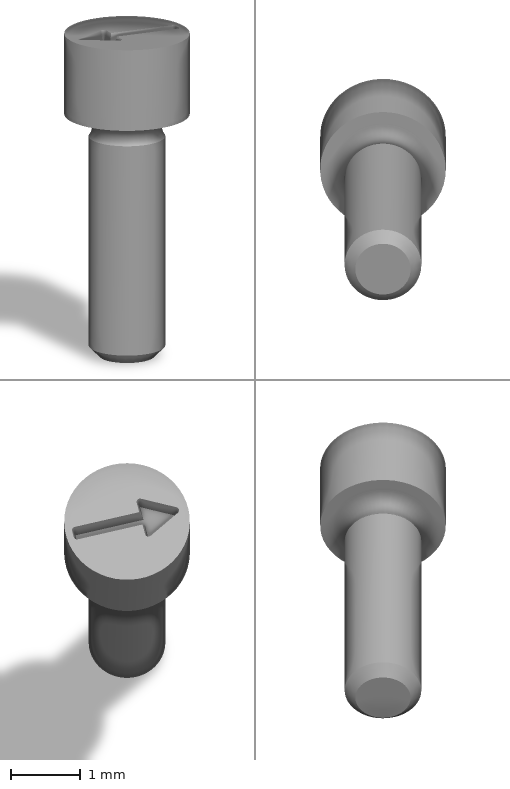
import cadquery as cq
import math

total_length = 4.8
head_diameter = 1.8
head_height = 1.2

shank_diameter = 1.1
neck_diameter = 1.01
neck_arc_radius = 0.2
tip_chamfer = 0.155

arrow_depth = 0.2
arrow_wall_taper = 14.0
arrow_tail_y = 0.75
arrow_shoulder_y = -0.255
arrow_tip_y = -0.715
arrow_shaft_half_width = 0.05
arrow_head_half_width = 0.25


def make_pin():
    """Revolve the half profile: chamfered tip, shank, arc neck and head."""
    head_radius = head_diameter / 2
    shank_radius = shank_diameter / 2
    head_bottom = total_length - head_height

    arc_center_r = neck_diameter / 2 + neck_arc_radius
    arc_center_z = head_bottom - neck_arc_radius
    end_angle = math.acos((arc_center_r - shank_radius) / neck_arc_radius)
    shank_top = arc_center_z - neck_arc_radius * math.sin(end_angle)

    return (
        cq.Workplane("XZ")
        .lineTo(shank_radius - tip_chamfer, 0)
        .lineTo(shank_radius, tip_chamfer)
        .lineTo(shank_radius, shank_top)
        .threePointArc((neck_diameter / 2, arc_center_z), (arc_center_r, head_bottom))
        .lineTo(head_radius, head_bottom)
        .lineTo(head_radius, total_length)
        .lineTo(0, total_length)
        .close()
        .revolve(360, (0, 0), (0, 1))
    )


def make_arrow_cutter():
    """Arrow pointing to -Y that widens upwards from the groove floor to the head face."""
    right_side = [
        (arrow_shaft_half_width, arrow_tail_y),
        (arrow_shaft_half_width, arrow_shoulder_y),
        (arrow_head_half_width, arrow_shoulder_y),
    ]
    left_side = [(-x, y) for x, y in reversed(right_side)]
    outline = right_side + [(0, arrow_tip_y)] + left_side
    return (
        cq.Workplane("XY")
        .workplane(offset=total_length - arrow_depth)
        .polyline(outline)
        .close()
        .extrude(arrow_depth, taper=-arrow_wall_taper)
    )


result = make_pin().cut(make_arrow_cutter())